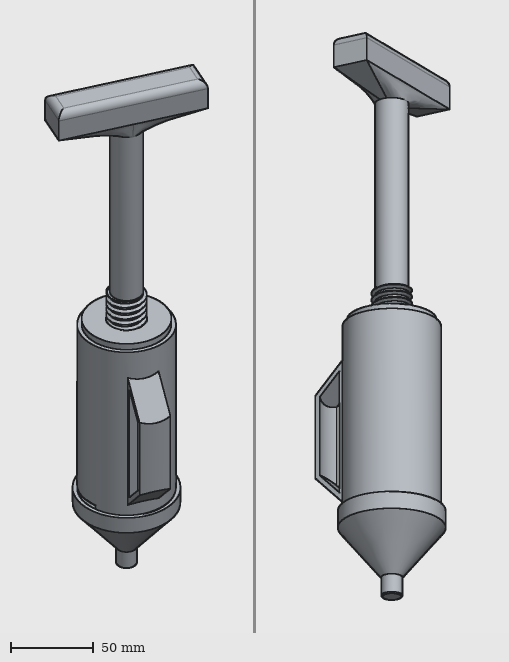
import cadquery as cq

tip_radius = 6.5
tip_chamfer = 0.8
tip_height = 12.5
cone_height = 32.3
collar_radius = 32.75
collar_height = 11.0
collar_floor = tip_height + cone_height
collar_top = collar_floor + collar_height

barrel_radius = 30.0
barrel_top = 175.8
groove_depth = 1.6
groove_pitch = 4.0
groove_half_width = 1.5
groove_end_z = 57.2
groove_end_angle = -60.0
groove_turns = 2.5

grip_width = 20.0
grip_reach = 50.0
grip_round_radius = barrel_radius
grip_middle_z = 110.2
grip_root_x = 25.0
grip_corner_x = 48.9
grip_corner_half_height = 26.2
grip_wall = 3.1
grip_slope = 1.0
window_inner_x = 31.0
window_half_height = 23.6

cap_radius = 27.2
cap_height = 4.3
cap_top = barrel_top + cap_height

rod_radius = 10.2
rod_top = 320.5
thread_crest_radius = 12.4
thread_clearance = 0.1
thread_pitch = 4.2
thread_half_width = 1.6
thread_length = 20.0
thread_lead_z = cap_top - 0.2
bar_width = 23.4
bar_length = 96.77
bar_bottom = 330.5
total_height = 350.15
bar_round = 5.0

thread_root_overlap = 0.3


def helical_ridge(root_radius, crest_radius, half_width, pitch, turns, start_z, start_angle):
    """Triangular section swept along a right-hand helix that starts at the given angle."""
    path = cq.Wire.makeHelix(pitch, pitch * turns, root_radius)
    profile = (
        cq.Workplane("XZ")
        .polyline([(root_radius, -half_width), (crest_radius, 0), (root_radius, half_width)])
        .close()
    )
    ridge = profile.sweep(cq.Workplane(obj=path), isFrenet=True)
    return ridge.rotate((0, 0, 0), (0, 0, 1), start_angle).translate((0, 0, start_z))


def make_nozzle():
    """Solid tip and cone under a collar whose recess holds the lower end of the barrel."""
    return (
        cq.Workplane("XZ")
        .polyline([
            (0, 0),
            (tip_radius - tip_chamfer, 0),
            (tip_radius, tip_chamfer),
            (tip_radius, tip_height),
            (collar_radius, collar_floor),
            (collar_radius, collar_top),
            (barrel_radius, collar_top),
            (barrel_radius, collar_floor),
            (0, collar_floor),
        ])
        .close()
        .revolve(360, (0, 0, 0), (0, 1, 0))
    )


def grip_round(radius):
    """Upright cylinder about the axis shared by the curved faces of the grip."""
    return (
        cq.Workplane("XY")
        .center(grip_reach - grip_round_radius, 0)
        .circle(radius)
        .extrude(barrel_top)
    )


def grip_block(inner_x, corner_x, corner_half_height, slope, reach):
    """Trapezoid as wide as the grip, from inner_x out to reach, with both ends sloping through the corner."""
    root_half_height = corner_half_height + slope * (corner_x - inner_x)
    tip_half_height = corner_half_height - slope * (reach - corner_x)
    return (
        cq.Workplane("XZ", origin=(0, 0, grip_middle_z))
        .polyline([
            (inner_x, -root_half_height),
            (reach, -tip_half_height),
            (reach, tip_half_height),
            (inner_x, root_half_height),
        ])
        .close()
        .extrude(grip_width / 2, both=True)
    )


def make_grip():
    """Loop with sloped ends; the hand bar is curved on its inner and outer faces."""
    window_reach = grip_reach - grip_wall
    loop = grip_block(grip_root_x, grip_corner_x, grip_corner_half_height, grip_slope, grip_reach)
    loop = loop.intersect(grip_round(grip_round_radius))
    window = grip_block(window_inner_x, window_reach, window_half_height, grip_slope, window_reach)
    window = window.intersect(grip_round(grip_round_radius - grip_wall))
    return loop.cut(window)


def make_barrel():
    """Cylinder with its thread groove and the carrying handle."""
    cylinder = (
        cq.Workplane("XY", origin=(0, 0, collar_floor))
        .circle(barrel_radius)
        .extrude(barrel_top - collar_floor)
    )
    groove = helical_ridge(
        barrel_radius + thread_root_overlap,
        barrel_radius - groove_depth,
        groove_half_width,
        groove_pitch,
        groove_turns,
        groove_end_z - groove_pitch * groove_turns,
        groove_end_angle - 360 * groove_turns,
    )
    return cylinder.cut(groove).union(make_grip())


def make_cap():
    """Ring around the threaded rod."""
    return (
        cq.Workplane("XY", origin=(0, 0, barrel_top))
        .circle(cap_radius)
        .circle(thread_crest_radius + thread_clearance)
        .extrude(cap_height)
    )


def make_rod():
    """Rod with a thread that runs through the cap and ends flat above it."""
    rod = cq.Workplane("XY", origin=(0, 0, barrel_top)).circle(rod_radius).extrude(rod_top - barrel_top)
    lead_turns = 1.5
    run_out_turns = 1
    turns = lead_turns + thread_length / thread_pitch + run_out_turns
    ridge = helical_ridge(
        rod_radius - thread_root_overlap,
        thread_crest_radius,
        thread_half_width,
        thread_pitch,
        turns,
        thread_lead_z - lead_turns * thread_pitch,
        -360 * lead_turns,
    )
    thread_zone = (
        cq.Workplane("XY", origin=(0, 0, barrel_top))
        .circle(2 * thread_crest_radius)
        .extrude(cap_height + thread_length)
    )
    return rod.union(ridge.intersect(thread_zone))


def make_bar():
    """Rounded T bar and the neck that narrows from it to the rod."""
    bar = (
        cq.Workplane("XY", origin=(0, 0, bar_bottom))
        .rect(bar_width, bar_length)
        .extrude(total_height - bar_bottom)
        .faces(">Z")
        .edges()
        .fillet(bar_round)
    )
    neck = (
        cq.Workplane("XY", origin=(0, 0, rod_top))
        .circle(rod_radius)
        .workplane(offset=bar_bottom - rod_top)
        .rect(bar_width, bar_length)
        .loft(ruled=True)
    )
    return bar.union(neck)


nozzle = make_nozzle()
barrel = make_barrel()
cap = make_cap()
plunger = make_rod().union(make_bar())

result = cq.Compound.makeCompound([nozzle.val(), barrel.val(), cap.val(), plunger.val()])